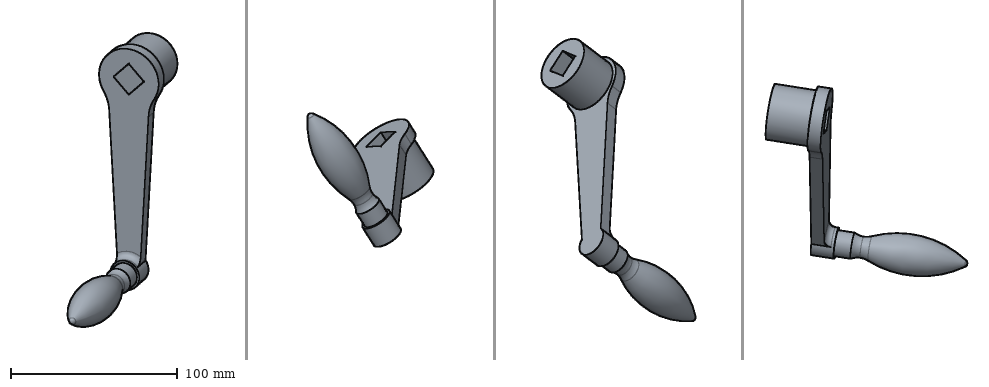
import cadquery as cq
import math

arm_thickness = 8.0
arm_length = 124.8
arm_width_at_hub = 28.2
arm_width_at_handle = 14.5
hub_diameter = 39.0
hub_blend_radius = 24.3

barrel_diameter = 34.0
barrel_length = 26.0
socket_side = 14.1

boss_diameter = 19.0
boss_length = 14.0
boss_fillet = 3.9

shank_diameter = 16.0
shank_length = 10.0
neck_diameter = 13.0
neck_position = 15.5
grip_start = 20.5
grip_start_diameter = 15.0
grip_diameter = 25.0
grip_widest = 44.7
tip_position = 78.5
tip_diameter = 4.4
handle_length = 80.0


def on_y_axis(diameter, y_start, length, z=0):
    """Cylinder along Y, running from y_start toward -Y."""
    return (
        cq.Workplane("XZ", origin=(0, y_start, z))
        .circle(diameter / 2)
        .extrude(length)
    )


def tapered_bar(depth):
    """Tapered arm outline from hub axis to handle axis, extruded toward -Y."""
    top = arm_width_at_hub / 2
    bottom = arm_width_at_handle / 2
    outline = [(-top, 0), (top, 0), (bottom, -arm_length), (-bottom, -arm_length)]
    return cq.Workplane("XZ").polyline(outline).close().extrude(depth)


def arm_plate():
    plate = on_y_axis(hub_diameter, 0, arm_thickness).union(tapered_bar(arm_thickness))
    corner_zone = cq.selectors.BoxSelector(
        (-hub_diameter / 2, -arm_thickness, -hub_diameter / 2),
        (hub_diameter / 2, 0, -hub_diameter / 4),
    )
    return plate.edges("|Y").edges(corner_zone).fillet(hub_blend_radius)


def boss_blend():
    """Concave ring where the boss leaves the arm, kept within the arm's sides."""
    inner = boss_diameter / 2
    outer = inner + boss_fillet
    front = arm_thickness + boss_fillet
    arc_inset = boss_fillet * (1 - math.sqrt(0.5))
    ring = (
        cq.Workplane("XY", origin=(0, 0, -arm_length))
        .moveTo(0, -arm_thickness)
        .lineTo(outer, -arm_thickness)
        .threePointArc((inner + arc_inset, -arm_thickness - arc_inset), (inner, -front))
        .lineTo(0, -front)
        .close()
        .revolve(360, (0, 0), (0, 1))
    )
    return ring.intersect(tapered_bar(front))


def handle():
    """Turned handle: shank, necked throat, barrel-shaped grip and domed tip."""
    def point(diameter, distance):
        return (diameter / 2, -distance)

    profile = (
        cq.Workplane("XY", origin=(0, -boss_length, -arm_length))
        .lineTo(*point(shank_diameter, 0))
        .lineTo(*point(shank_diameter, shank_length))
    )
    drop = (shank_diameter - neck_diameter) / 2
    run = neck_position - shank_length
    throat_radius = (run**2 + drop**2) / (2 * drop)
    profile = (
        profile.radiusArc(point(neck_diameter, neck_position), -throat_radius)
        .tangentArcPoint(point(grip_start_diameter, grip_start), relative=False)
        .threePointArc(point(grip_diameter, grip_widest), point(tip_diameter, tip_position))
    )
    dome_height = handle_length - tip_position
    dome_radius = ((tip_diameter / 2) ** 2 + dome_height**2) / (2 * dome_height)
    return (
        profile.radiusArc(point(0, handle_length), dome_radius)
        .close()
        .revolve(360, (0, 0), (0, 1))
    )


def square_socket():
    return (
        cq.Workplane("XZ", origin=(0, barrel_length, 0))
        .transformed(rotate=(0, 0, 45))
        .rect(socket_side, socket_side)
        .extrude(barrel_length + arm_thickness)
    )


result = (
    arm_plate()
    .union(on_y_axis(barrel_diameter, barrel_length, barrel_length))
    .union(on_y_axis(boss_diameter, 0, boss_length, -arm_length))
    .union(boss_blend())
    .union(handle())
    .cut(square_socket())
)